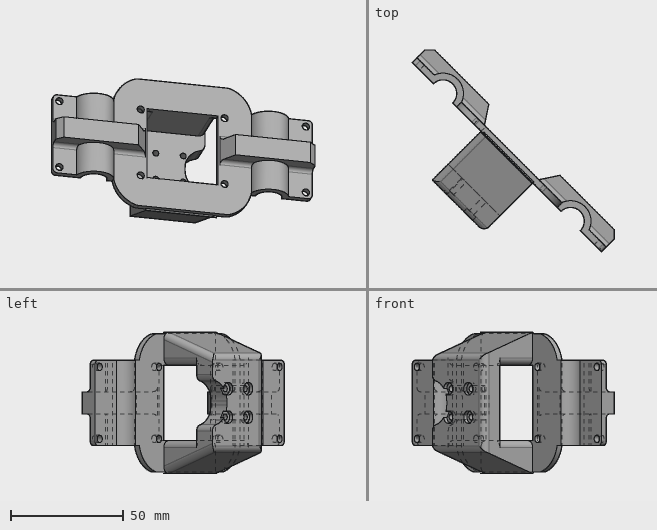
import cadquery as cq
import math


SQUARE_SIDE = 90.05
TURN_ANGLE = -45.0

PLATE_THICKNESS = 3.1
WING_HALF_HEIGHT = 19.0
WING_CORNER_RADIUS = 2.0
CENTRE_HALF_LENGTH = 31.7
CENTRE_HALF_HEIGHT = 30.8
CENTRE_TOP_HALF_LENGTH = 21.1
CENTRE_ARC_RADIUS = 14.95
CENTRE_CORNER_RADIUS = 5.4

RIB_HEIGHT = 11.1
RIB_HALF_WIDTH = 4.95
RIB_FOOT_RADIUS = 2.0
RIB_TIP_CHAMFER = 3.0
RIB_INNER_FOOT = 17.1
RIB_INNER_TOP = 22.3

CHAMFER_START = RIB_HEIGHT - RIB_TIP_CHAMFER
HALF_LENGTH = (SQUARE_SIDE * math.sqrt(2) - CHAMFER_START) / 2

GROOVE_POSITION = 40.2
GROOVE_RADIUS = 6.0
GROOVE_OUTER_RADIUS = GROOVE_RADIUS + PLATE_THICKNESS

HOUSING_HALF_LENGTH = 16.3
HOUSING_DEPTH = 30.6
HOUSING_BASE_HALF_HEIGHT = 31.5
HOUSING_FRONT_HALF_HEIGHT = 21.4
HOUSING_EDGE_RADIUS = 3.15
FRONT_WALL_THICKNESS = 10.0

PASSAGE_HALF_HEIGHT = 16.75
PASSAGE_EDGE_RADIUS = 3.15

NOTCH_RADIUS = 9.1
NOTCH_FLAT = 1.8
NOTCH_EDGE_RADIUS = 3.0

WING_SCREW_DIAMETER = 3.2
WING_SCREW_MARGIN = 3.0
WALL_SCREW_DIAMETER = 2.7
WALL_SCREW_OFFSET = 6.3
COUNTERBORE_DIAMETER = 5.6
COUNTERBORE_DEPTH = 2.0

LIP_HEIGHT = HOUSING_BASE_HALF_HEIGHT - CENTRE_HALF_HEIGHT

STRIP_HEIGHT = 0.1
TAPER = (HOUSING_BASE_HALF_HEIGHT - HOUSING_FRONT_HALF_HEIGHT) / HOUSING_DEPTH

SIDES = (-1, 1)


def block(x_range, y_range, z_range):
    """Box between the given limits along each axis."""
    lengths = [high - low for low, high in (x_range, y_range, z_range)]
    corner = (x_range[0], y_range[0], z_range[0])
    return cq.Workplane("XY").box(*lengths, centered=False).translate(corner)


def cylinder_along_y(x, z, diameter, y_start, y_end):
    """Cylinder parallel to Y between two depths."""
    plane = cq.Workplane("XZ", origin=(x, y_start, z))
    return plane.circle(diameter / 2).extrude(y_start - y_end)


def housing_prism(outline):
    """Prism as long as the housing, from an outline of (y, z) points."""
    plane = cq.Workplane("YZ", origin=(-HOUSING_HALF_LENGTH, 0, 0))
    return plane.polyline(outline).close().extrude(2 * HOUSING_HALF_LENGTH)


def make_plate():
    """Flat plate: a long bar for the wings, widened by a rounded centre."""
    bar = block(
        (-HALF_LENGTH, HALF_LENGTH),
        (0, PLATE_THICKNESS),
        (-WING_HALF_HEIGHT, WING_HALF_HEIGHT),
    )
    centre = (
        cq.Workplane("XZ", origin=(0, PLATE_THICKNESS, 0))
        .moveTo(-CENTRE_TOP_HALF_LENGTH, CENTRE_HALF_HEIGHT)
        .lineTo(CENTRE_TOP_HALF_LENGTH, CENTRE_HALF_HEIGHT)
        .radiusArc((CENTRE_HALF_LENGTH, WING_HALF_HEIGHT), CENTRE_ARC_RADIUS)
        .lineTo(CENTRE_HALF_LENGTH, -WING_HALF_HEIGHT)
        .radiusArc((CENTRE_TOP_HALF_LENGTH, -CENTRE_HALF_HEIGHT), CENTRE_ARC_RADIUS)
        .lineTo(-CENTRE_TOP_HALF_LENGTH, -CENTRE_HALF_HEIGHT)
        .radiusArc((-CENTRE_HALF_LENGTH, -WING_HALF_HEIGHT), CENTRE_ARC_RADIUS)
        .lineTo(-CENTRE_HALF_LENGTH, WING_HALF_HEIGHT)
        .radiusArc((-CENTRE_TOP_HALF_LENGTH, CENTRE_HALF_HEIGHT), CENTRE_ARC_RADIUS)
        .close()
        .extrude(PLATE_THICKNESS)
    )
    for long_edge in ("<Z", ">Z"):
        centre = centre.edges("|Y").edges(long_edge).fillet(CENTRE_CORNER_RADIUS)
    return bar.edges("|Y").fillet(WING_CORNER_RADIUS).union(centre)


def make_rib(side):
    """Rib with a flared foot, bevelled at its inner end and chamfered at its outer end."""
    foot_half_width = RIB_HALF_WIDTH + RIB_FOOT_RADIUS
    foot_top = PLATE_THICKNESS + RIB_FOOT_RADIUS
    mid = RIB_FOOT_RADIUS * (1 - math.sqrt(0.5))
    section = (
        cq.Workplane("YZ")
        .moveTo(0, -foot_half_width)
        .lineTo(PLATE_THICKNESS, -foot_half_width)
        .threePointArc((PLATE_THICKNESS + mid, -RIB_HALF_WIDTH - mid), (foot_top, -RIB_HALF_WIDTH))
        .lineTo(RIB_HEIGHT, -RIB_HALF_WIDTH)
        .lineTo(RIB_HEIGHT, RIB_HALF_WIDTH)
        .lineTo(foot_top, RIB_HALF_WIDTH)
        .threePointArc((PLATE_THICKNESS + mid, RIB_HALF_WIDTH + mid), (PLATE_THICKNESS, foot_half_width))
        .lineTo(0, foot_half_width)
        .close()
        .extrude(side * HALF_LENGTH)
    )
    outline = (
        cq.Workplane("XY")
        .polyline(
            [
                (side * RIB_INNER_FOOT, 0),
                (side * RIB_INNER_FOOT, PLATE_THICKNESS),
                (side * RIB_INNER_TOP, RIB_HEIGHT),
                (side * (HALF_LENGTH - RIB_TIP_CHAMFER), RIB_HEIGHT),
                (side * HALF_LENGTH, CHAMFER_START),
                (side * HALF_LENGTH, 0),
            ]
        )
        .close()
        .extrude(foot_half_width, both=True)
    )
    return section.intersect(outline)


def make_groove_cylinder(side, radius):
    """Upright cylinder on a groove's axis, as tall as the wings."""
    plane = cq.Workplane("XY", origin=(side * GROOVE_POSITION, 0, -WING_HALF_HEIGHT))
    return plane.circle(radius).extrude(2 * WING_HALF_HEIGHT)


def make_groove_wall(side):
    """Half-round wall that carries the plate behind a groove."""
    back_half = block(
        (-HALF_LENGTH, HALF_LENGTH),
        (0, GROOVE_OUTER_RADIUS),
        (-WING_HALF_HEIGHT, WING_HALF_HEIGHT),
    )
    return make_groove_cylinder(side, GROOVE_OUTER_RADIUS).intersect(back_half)


def make_passage():
    """Passage along X through the housing, its mouths rounded outward at top and bottom."""
    mouth_half_height = PASSAGE_HALF_HEIGHT + PASSAGE_EDGE_RADIUS
    depth = HOUSING_DEPTH - FRONT_WALL_THICKNESS
    passage = block(
        (-HOUSING_HALF_LENGTH, HOUSING_HALF_LENGTH),
        (-depth, 0),
        (-mouth_half_height, mouth_half_height),
    )
    for z_side in SIDES:
        z_inner = z_side * PASSAGE_HALF_HEIGHT
        z_outer = z_side * (mouth_half_height + PASSAGE_EDGE_RADIUS)
        leg = block(
            (-HOUSING_HALF_LENGTH, HOUSING_HALF_LENGTH),
            (-depth, 0),
            (min(z_inner, z_outer), max(z_inner, z_outer)),
        )
        rounded_edges = leg.edges("|Y").edges("<Z" if z_side > 0 else ">Z")
        passage = passage.cut(rounded_edges.fillet(PASSAGE_EDGE_RADIUS))
    return passage


def make_notch():
    """Round-bottomed notch through the front wall, with a narrow flat at its deepest place."""
    y_range = (-HOUSING_DEPTH, FRONT_WALL_THICKNESS - HOUSING_DEPTH)
    notch = block(
        (-HOUSING_HALF_LENGTH, NOTCH_RADIUS - HOUSING_HALF_LENGTH),
        y_range,
        (-NOTCH_FLAT / 2, NOTCH_FLAT / 2),
    )
    for z_side in SIDES:
        z = z_side * NOTCH_FLAT / 2
        notch = notch.union(cylinder_along_y(-HOUSING_HALF_LENGTH, z, 2 * NOTCH_RADIUS, *y_range))
    return notch


def make_crest_strip(z_side):
    """Triangular strip along the housing's crest, between its sloping face and the lip's bevel."""
    z_foot = z_side * (HOUSING_BASE_HALF_HEIGHT - STRIP_HEIGHT)
    return housing_prism(
        [
            (-STRIP_HEIGHT / TAPER, z_foot),
            (0, z_side * HOUSING_BASE_HALF_HEIGHT),
            (STRIP_HEIGHT, z_foot),
        ]
    )


def make_housing():
    """Tapered hood with rounded edges, an open passage, a side notch and four screw holes."""
    taper = housing_prism(
        [
            (0, -HOUSING_BASE_HALF_HEIGHT),
            (-HOUSING_DEPTH, -HOUSING_FRONT_HALF_HEIGHT),
            (-HOUSING_DEPTH, HOUSING_FRONT_HALF_HEIGHT),
            (0, HOUSING_BASE_HALF_HEIGHT),
        ]
    )
    left_slope_edges = taper.faces("<X").edges("not(|Z)")
    front_level_edges = taper.faces("<Y").edges("|X")
    front_right_edge = taper.faces("<Y").edges(">X")
    rounded = left_slope_edges.add(front_level_edges).add(front_right_edge)
    housing = rounded.fillet(HOUSING_EDGE_RADIUS)

    base_slab = housing.faces(">Y").wires().toPending().workplane().extrude(LIP_HEIGHT, combine=False)
    for z_side in SIDES:
        bevel = housing_prism(
            [
                (0, z_side * CENTRE_HALF_HEIGHT),
                (0, z_side * HOUSING_BASE_HALF_HEIGHT),
                (LIP_HEIGHT, z_side * CENTRE_HALF_HEIGHT),
            ]
        )
        housing = housing.union(base_slab.intersect(bevel)).cut(make_crest_strip(z_side))

    housing = housing.cut(make_passage()).cut(make_notch())
    notch_mouth = cq.selectors.BoxSelector(
        (-HOUSING_HALF_LENGTH - 0.9, -HOUSING_DEPTH - 0.9, -NOTCH_RADIUS - NOTCH_FLAT),
        (-HOUSING_HALF_LENGTH + 0.9, 0, NOTCH_RADIUS + NOTCH_FLAT),
    )
    housing = housing.edges("|Y").edges(notch_mouth).fillet(NOTCH_EDGE_RADIUS)

    floor_of_counterbore = COUNTERBORE_DEPTH - HOUSING_DEPTH
    inside_of_wall = FRONT_WALL_THICKNESS - HOUSING_DEPTH
    for x_side in SIDES:
        for z_side in SIDES:
            x = x_side * WALL_SCREW_OFFSET
            z = z_side * WALL_SCREW_OFFSET
            housing = housing.cut(cylinder_along_y(x, z, WALL_SCREW_DIAMETER, -HOUSING_DEPTH, inside_of_wall))
            housing = housing.cut(
                cylinder_along_y(x, z, COUNTERBORE_DIAMETER, -HOUSING_DEPTH, floor_of_counterbore)
            )
    return housing


def make_bracket():
    """One-piece bracket: plate, wings with ribs and grooves, and the housing."""
    bracket = make_plate()
    for side in SIDES:
        bracket = bracket.union(make_rib(side)).union(make_groove_wall(side))
    for side in SIDES:
        bracket = bracket.cut(make_groove_cylinder(side, GROOVE_RADIUS))
    bracket = bracket.clean()

    window = block(
        (-HOUSING_HALF_LENGTH, HOUSING_HALF_LENGTH),
        (0, PLATE_THICKNESS),
        (-PASSAGE_HALF_HEIGHT, PASSAGE_HALF_HEIGHT),
    )
    bracket = bracket.cut(window).union(make_housing())

    screw_z = WING_HALF_HEIGHT - WING_SCREW_MARGIN
    inner_screw_x = HOUSING_HALF_LENGTH + WING_SCREW_MARGIN
    outer_screw_x = HALF_LENGTH - WING_SCREW_MARGIN
    for screw_x in (-outer_screw_x, -inner_screw_x, inner_screw_x, outer_screw_x):
        for z_side in SIDES:
            hole = cylinder_along_y(screw_x, z_side * screw_z, WING_SCREW_DIAMETER, 0, PLATE_THICKNESS)
            bracket = bracket.cut(hole)
    return bracket


def place(body):
    """Centre the body's depth on the square, then turn it onto the diagonal."""
    centred = body.translate((0, -CHAMFER_START / 2, 0))
    return centred.rotate((0, 0, 0), (0, 0, 1), TURN_ANGLE)


bracket = place(make_bracket())
crest_strips = [place(make_crest_strip(z_side)) for z_side in SIDES]

result = cq.Compound.makeCompound([bracket.val(), *[strip.val() for strip in crest_strips]])